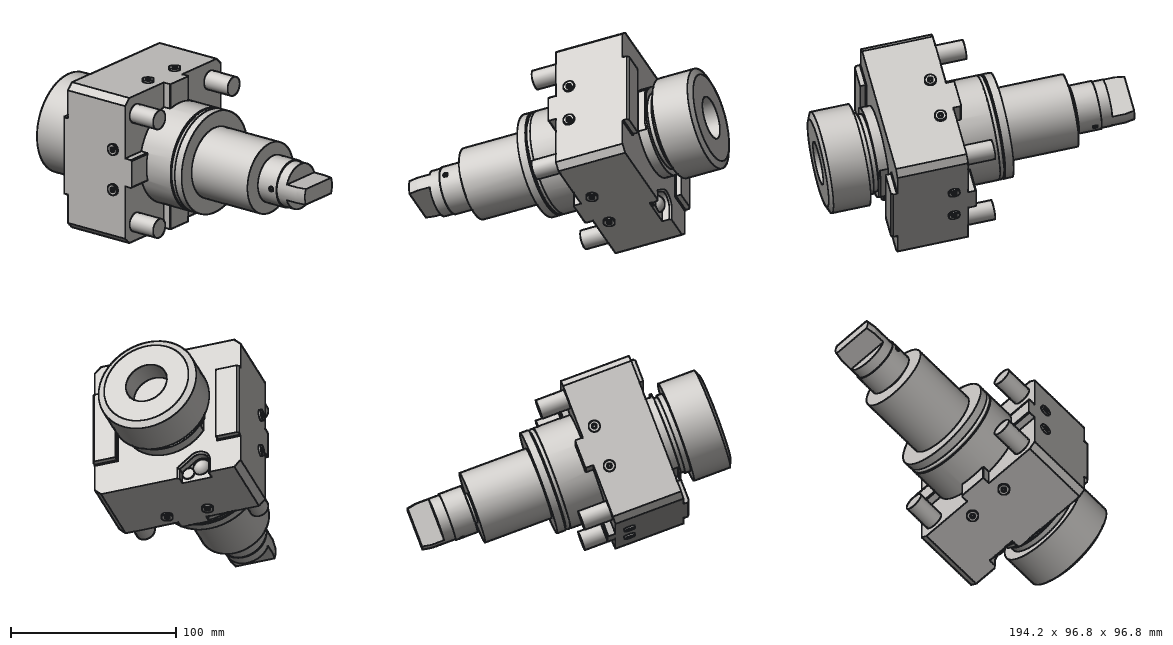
import cadquery as cq
import math


NUT_END = 25.2
COLLAR_END = 28.7
WRENCH_START = 31.6
WRENCH_STEP = 32.8
HOUSING_START = 38.0
HOUSING_END = 82.1
KEY_END = 87.2
PIN_END = 100.2
FLANGE_END = 114.2
SHANK_END = 157.0
NECK_END = 159.2
COUPLING_END = 173.4
TIP_START = 180.4
TANG_TAPER_START = 188.3
TOTAL_LENGTH = 194.2

NUT_R = 31.5
NUT_FACE_R = 27.2
NUT_CHAMFER = 2.0
COLLAR_R = 25.0
COLLAR_NECK_R = 24.0
WRENCH_R = 27.8
FLANGE_R = 32.5
SHANK_R = 22.5
NECK_R = 9.5
COUPLING_R = 15.0
TIP_R = 14.4
TANG_END_R = 13.4

BORE_R = 13.2
BORE_DEPTH = 14.5

RIM_FLAT_Y = 25.6
FLAT_Y = 23.1

SEAL_X = 107.0
SEAL_SECTION_R = 1.4
SEAL_GAP = 0.5
SEAL_CENTRE_R = FLANGE_R - SEAL_SECTION_R

HOUSING_HALF = 47.0
HOUSING_CHAMFER = 4.0

KEY_WIDTH = 18.0
KEY_EDGE = 0.5
KEY_ROOT = FLANGE_R - 3.9

PIN_R = 6.0
PIN_Y = 36.5
PIN_Z = 35.1

PAD_FRONT = 34.2
PAD_INNER_Y = 32.5
PAD_HALF_HEIGHT = 24.7
PAD_CHAMFER = 1.2
PAD_BASE_STEP = 0.5

SCREW_X = 73.2
SCREW_SPACING = 26.0
SCREW_R = 3.5
SCREW_HEIGHT = 1.4
SCREW_SOCKET_R = 1.5
SCREW_SOCKET_DEPTH = 0.5
SCREW_HOLE_R = 1.0
SCREW_HOLE_DEPTH = 1.2

POCKET_Y_MIN = -27.4
POCKET_Y_MAX = -6.2
POCKET_R = 7.5
POCKET_DEPTH = 5.8
POCKET_BEVEL = 1.2
POCKET_SHOULDER_Z = -39.2
BALL_Z = -38.0
BALL_R = 5.6
BALL_SINK = 1.5
PLUG_Y = -11.5
PLUG_Z = -41.0
PLUG_R = 3.9
PLUG_HEIGHT = 0.5

TANG_THICKNESS = 10.0
CROSS_HOLE_X = 169.3
CROSS_HOLE_R = 1.0
CROSS_HOLE_DEPTH = 3.9
CROSS_HOLE_MOUTH_R = 1.5
CROSS_HOLE_MOUTH_DEPTH = 1.0


def box(x0, x1, y0, y1, z0, z1):
    """Box between opposite corners."""
    return cq.Workplane("XY").box(x1 - x0, y1 - y0, z1 - z0, centered=False).translate((x0, y0, z0))


def x_cylinder(x0, x1, radius, y=0, z=0):
    """Cylinder running along X."""
    return cq.Workplane("YZ", origin=(x0, y, z)).circle(radius).extrude(x1 - x0)


def spun(points):
    """Solid of revolution about X from (x, radius) points."""
    return cq.Workplane("XY").polyline(points).close().revolve(360, (0, 0), (1, 0))


def make_front_spindle():
    nut = spun([
        (0, 0),
        (0, NUT_FACE_R),
        (NUT_CHAMFER, NUT_R),
        (NUT_END, NUT_R),
        (NUT_END, COLLAR_R),
        (COLLAR_END, COLLAR_R),
        (COLLAR_END, COLLAR_NECK_R),
        (WRENCH_START, COLLAR_NECK_R),
        (WRENCH_START, 0),
    ])
    bore = x_cylinder(0, BORE_DEPTH, BORE_R)
    return nut.cut(bore)


def make_wrench_ring():
    """Ring with a pair of flats, shallower on its thin front rim."""
    rim = x_cylinder(WRENCH_START, WRENCH_STEP, WRENCH_R)
    rim = rim.intersect(box(WRENCH_START, WRENCH_STEP, -RIM_FLAT_Y, RIM_FLAT_Y, -WRENCH_R, WRENCH_R))
    ring = x_cylinder(WRENCH_STEP, HOUSING_START, WRENCH_R)
    ring = ring.intersect(box(WRENCH_STEP, HOUSING_START, -FLAT_Y, FLAT_Y, -WRENCH_R, WRENCH_R))
    return rim.union(ring)


def make_rear_spindle():
    body = spun([
        (HOUSING_START, 0),
        (HOUSING_START, FLANGE_R),
        (FLANGE_END, FLANGE_R),
        (FLANGE_END, SHANK_R),
        (SHANK_END, SHANK_R),
        (SHANK_END, NECK_R),
        (NECK_END, NECK_R),
        (NECK_END, COUPLING_R),
        (COUPLING_END, COUPLING_R),
        (COUPLING_END, TIP_R),
        (TANG_TAPER_START, TIP_R),
        (TOTAL_LENGTH, TANG_END_R),
        (TOTAL_LENGTH, 0),
    ])
    for side in (-1, 1):
        near = side * TANG_THICKNESS / 2
        far = side * COUPLING_R
        body = body.cut(box(TIP_START, TOTAL_LENGTH, -TIP_R, TIP_R, min(near, far), max(near, far)))
        surface = cq.Workplane("XZ", origin=(CROSS_HOLE_X, side * COUPLING_R, 0))
        body = body.cut(surface.circle(CROSS_HOLE_R).extrude(side * CROSS_HOLE_DEPTH))
        body = body.cut(surface.circle(CROSS_HOLE_MOUTH_R).extrude(side * CROSS_HOLE_MOUTH_DEPTH))
    return add_seal(body)


def add_seal(body):
    """Cut the seal groove and set a round-section ring against its front side."""
    groove_start = SEAL_X - SEAL_SECTION_R
    groove_end = SEAL_X + SEAL_SECTION_R + SEAL_GAP
    groove_floor = SEAL_CENTRE_R - SEAL_SECTION_R / 2
    groove = x_cylinder(groove_start, groove_end, FLANGE_R + SEAL_GAP)
    groove = groove.cut(x_cylinder(groove_start, groove_end, groove_floor))
    seal = cq.Workplane("XY").center(SEAL_X, SEAL_CENTRE_R).circle(SEAL_SECTION_R)
    seal = seal.revolve(360, (-SEAL_X, -SEAL_CENTRE_R), (2 - SEAL_X, -SEAL_CENTRE_R))
    return body.cut(groove).union(seal)


def make_housing():
    h = HOUSING_HALF
    return box(HOUSING_START, HOUSING_END, -h, h, -h, h).edges("|X").chamfer(HOUSING_CHAMFER)


def make_key():
    """Rear key on the +Z side, reaching inwards to the flange."""
    half = KEY_WIDTH / 2
    key = box(HOUSING_END, KEY_END, -half, half, KEY_ROOT, HOUSING_HALF)
    return key.faces(">X").edges("|Z").chamfer(KEY_EDGE)


def make_pad():
    """Front pad on the -Y side, on a slightly larger base."""
    h = PAD_HALF_HEIGHT
    pad = box(PAD_FRONT, HOUSING_START, -HOUSING_HALF, -PAD_INNER_Y, -h, h)
    pad = pad.edges("<X and <Y").chamfer(PAD_CHAMFER)
    base_h = h + PAD_BASE_STEP
    base = box(
        HOUSING_START - PAD_BASE_STEP, HOUSING_START,
        -HOUSING_HALF, PAD_BASE_STEP - PAD_INNER_Y,
        -base_h, base_h,
    )
    return pad.union(base)


def make_screws():
    """Pair of screw heads on the +Z side."""
    return (
        cq.Workplane("XY", origin=(SCREW_X, 0, HOUSING_HALF))
        .rarray(2, SCREW_SPACING, 1, 2)
        .circle(SCREW_R)
        .extrude(SCREW_HEIGHT)
        .faces(">Z")
        .workplane(origin=(SCREW_X, 0, 0))
        .rarray(2, SCREW_SPACING, 1, 2)
        .cboreHole(2 * SCREW_HOLE_R, 2 * SCREW_SOCKET_R, SCREW_SOCKET_DEPTH, SCREW_HOLE_DEPTH)
    )


def make_pocket():
    """Cutter for the coolant pocket, open at the underside, with a bevelled mouth."""
    arc_y = POCKET_Y_MIN + POCKET_R
    dy = POCKET_Y_MAX - arc_y
    dz = POCKET_SHOULDER_Z - BALL_Z
    tangent_angle = math.atan2(dz, dy) + math.acos(POCKET_R / math.hypot(dy, dz))
    middle_angle = (tangent_angle + math.pi) / 2

    def on_arc(angle):
        return (arc_y + POCKET_R * math.cos(angle), BALL_Z + POCKET_R * math.sin(angle))

    bottom = -HOUSING_HALF - 2 * POCKET_BEVEL
    mouth = (
        cq.Workplane("YZ", origin=(HOUSING_START, 0, 0))
        .moveTo(POCKET_Y_MIN, bottom)
        .lineTo(POCKET_Y_MIN, BALL_Z)
        .threePointArc(on_arc(middle_angle), on_arc(tangent_angle))
        .lineTo(POCKET_Y_MAX, POCKET_SHOULDER_Z)
        .lineTo(POCKET_Y_MAX, bottom)
        .close()
    )
    bevel = mouth.extrude(POCKET_BEVEL, taper=45)
    return bevel.union(bevel.faces(">X").wires().toPending().extrude(POCKET_DEPTH - POCKET_BEVEL))


def make_nozzle():
    """Coolant ball, sunk past its middle into the pocket floor, and the low plug beside it."""
    floor = HOUSING_START + POCKET_DEPTH
    ball = cq.Workplane("XY").sphere(BALL_R).translate((floor + BALL_SINK, POCKET_Y_MIN + POCKET_R, BALL_Z))
    plug = x_cylinder(floor - PLUG_HEIGHT, floor + PLUG_HEIGHT, PLUG_R, PLUG_Y, PLUG_Z)
    return ball.union(plug)


def around_x(solid, angle):
    return solid.rotate((0, 0, 0), (1, 0, 0), angle)


result = make_housing().union(make_rear_spindle())
for quarter in range(4):
    result = result.union(around_x(make_key(), 90 * quarter))
    result = result.union(around_x(make_screws(), 90 * quarter))
for pad_angle in (0, 180):
    result = result.union(around_x(make_pad(), pad_angle))
for pin_y in (-PIN_Y, PIN_Y):
    for pin_z in (-PIN_Z, PIN_Z):
        result = result.union(x_cylinder(HOUSING_END, PIN_END, PIN_R, pin_y, pin_z))

result = result.cut(make_pocket()).union(make_nozzle())
result = result.union(make_wrench_ring()).union(make_front_spindle())